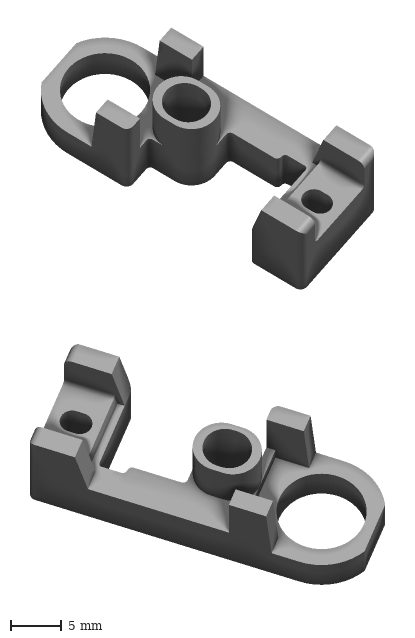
import cadquery as cq

length = 34.6
width = 12.8
height = 10.0
half_width = width / 2

ring_top = 3.6
arm_top = 4.95
seat_top = 6.02
boss_top = 9.75

ring_x = 5.67
ring_bore = 9.0
step_x = 12.2

post_end_x = 13.18
post_foot_x = 8.3
post_top_x = 9.2
post_width = 1.97
post_radius = 0.83

boss_width = 5.75
boss_length = 7.0
boss_x = step_x + boss_length / 2
boss_end_x = step_x + boss_length
boss_bore_width = 4.53
boss_bore_length = 4.98

arm_edge_y = 2.42
jog_x = 25.25
jog_edge_y = 3.43
arm_radius = 0.5
block_inner_radius = 0.35

block_x = 28.15
block_front_radius = 0.45
block_rear_radius = 0.83
rail_top_x = 29.55
rail_width = 2.2
seat_foot_x = 28.93
seat_fillet = 0.5
slot_x = 31.8
slot_length = 3.32
slot_width = 2.53


def side_profile(points, y_min, y_max):
    """Extrude an XZ outline between two Y positions."""
    return cq.Workplane("XZ", origin=(0, y_max, 0)).polyline(points).close().extrude(y_max - y_min)


def plate(x_min, x_max, y_min, y_max, z_max):
    """Box standing on the base plane."""
    return cq.Workplane("XY").box(
        x_max - x_min, y_max - y_min, z_max, centered=False
    ).translate((x_min, y_min, 0))


def oblong(x, size_x, size_y, z_max):
    """Oblong prism on the centre line, standing on the base plane."""
    return cq.Workplane("XY").center(x, 0).slot2D(size_x, size_y).extrude(z_max)


def make_ring_end():
    disc = cq.Workplane("XY").center(ring_x, 0).circle(half_width).extrude(ring_top)
    disc = disc.intersect(plate(0, length, -half_width, half_width, ring_top))
    return disc.union(plate(ring_x, post_end_x, -half_width, half_width, ring_top))


def make_arm():
    """Stepped arm with rounded corners along its lower edge."""
    half_boss = boss_width / 2
    outline = [
        (step_x, half_width),
        (length, half_width),
        (length, -half_width),
        (block_x, -half_width),
        (block_x, jog_edge_y),
        (jog_x, jog_edge_y),
        (jog_x, arm_edge_y),
        (boss_end_x, arm_edge_y),
        (boss_end_x, -half_boss),
        (post_end_x, -half_boss),
        (post_end_x, -half_width),
        (step_x, -half_width),
    ]
    rounded_corners = [
        ((block_x, jog_edge_y), block_inner_radius),
        ((jog_x, jog_edge_y), arm_radius),
        ((jog_x, arm_edge_y), arm_radius),
        ((boss_end_x, arm_edge_y), arm_radius),
        ((boss_end_x, -half_boss), half_boss),
        ((post_end_x, -half_boss), arm_radius),
    ]
    arm = cq.Workplane("XY").polyline(outline).close().extrude(arm_top)
    for (x, y), radius in rounded_corners:
        corner = cq.selectors.NearestToPointSelector((x, y, arm_top / 2))
        arm = arm.edges("|Z").edges(corner).fillet(radius)
    return arm


def make_post(y_min):
    outline = [
        (post_foot_x, 0),
        (post_end_x, 0),
        (post_end_x, height),
        (post_top_x, height),
    ]
    return side_profile(outline, y_min, y_min + post_width)


def make_rail(y_min):
    outline = [
        (block_x, arm_top),
        (length, arm_top),
        (length, height),
        (rail_top_x, height),
    ]
    rail = side_profile(outline, y_min, y_min + rail_width)
    return rail.edges(">X and >Z").fillet(block_rear_radius)


def make_seat():
    """Raised seat whose sloping front is parallel to the rail fronts."""
    slope = (rail_top_x - block_x) / (height - arm_top)
    seat_edge_x = seat_foot_x + slope * (seat_top - arm_top)
    outline = [
        (seat_foot_x, arm_top),
        (length, arm_top),
        (length, seat_top),
        (seat_edge_x, seat_top),
    ]
    inner_y = half_width - rail_width
    seat = side_profile(outline, -inner_y, inner_y)
    for side in (-1, 1):
        wall_y = side * inner_y
        toe_y = side * (inner_y - seat_fillet)
        strip = plate(
            seat_edge_x, length, min(wall_y, toe_y), max(wall_y, toe_y), seat_fillet
        ).translate((0, 0, seat_top))
        cove = (
            cq.Workplane("YZ", origin=(seat_edge_x, 0, 0))
            .center(toe_y, seat_top + seat_fillet)
            .circle(seat_fillet)
            .extrude(length - seat_edge_x)
        )
        seat = seat.union(strip.cut(cove))
    return seat


def round_off_corner(body, x, y, radius, x_inward, y_inward):
    """Round a full-height vertical corner; the inward signs point into the block."""
    center_x = x + x_inward * radius
    center_y = y + y_inward * radius
    corner = plate(min(x, center_x), max(x, center_x), min(y, center_y), max(y, center_y), height)
    cylinder = cq.Workplane("XY").center(center_x, center_y).circle(radius).extrude(height)
    return body.cut(corner.cut(cylinder))


body = make_ring_end().union(make_arm())
for post_y in (-half_width, half_width - post_width):
    body = body.union(make_post(post_y))
for rail_y in (-half_width, half_width - rail_width):
    body = body.union(make_rail(rail_y))
body = body.union(make_seat())
body = body.union(oblong(boss_x, boss_length, boss_width, boss_top))
for side in (-1, 1):
    body = round_off_corner(body, length, side * half_width, block_rear_radius, -1, -side)
body = round_off_corner(body, block_x, -half_width, block_front_radius, 1, 1)
body = round_off_corner(body, post_end_x, -half_width, post_radius, -1, 1)

body = body.cut(cq.Workplane("XY").center(ring_x, 0).circle(ring_bore / 2).extrude(height))
body = body.cut(oblong(boss_x, boss_bore_length, boss_bore_width, height))
body = body.cut(oblong(slot_x, slot_length, slot_width, height))

result = body